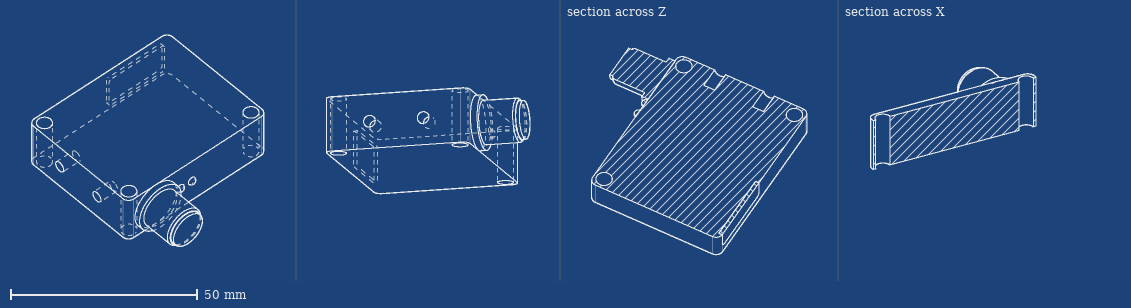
import cadquery as cq
import math

OVERALL_LENGTH = 53.0

HOUSING_X = 40.0
HOUSING_Y = 50.0
HOUSING_Z = 15.0
CORNER_RADIUS = 2.0
MID_Z = HOUSING_Z / 2

MOUNT_HOLE_DIAMETER = 4.3
MOUNT_HOLE_INSET = 3.0

FRONT_HOLE_DIAMETER = 3.25
FRONT_HOLE_DEPTH = 6.0
FRONT_HOLE_FIRST_X = 12.5
FRONT_HOLE_SPACING = 15.0

WINDOW_LENGTH = 20.0
WINDOW_HEIGHT = 10.0
WINDOW_THICKNESS = 1.0
WINDOW_CORNER_RADIUS = 1.0
WINDOW_Y = HOUSING_Y - CORNER_RADIUS - WINDOW_LENGTH / 2

CONNECTOR_Y = 10.0
CONNECTOR_LENGTH = OVERALL_LENGTH - HOUSING_X
FLANGE_DIAMETER = HOUSING_Z
FLANGE_THICKNESS = 1.85
BARREL_DIAMETER = 12.0
BARREL_END = 12.0
CHAMFER_LENGTH = 0.65
CHAMFER_DEPTH = 0.5
TIP_DIAMETER = 10.5

LIGHT_DIAMETER = 2.5
LIGHT_HEIGHT = 1.0
LIGHT_FIRST_Y = 18.85
LIGHT_SPACING = 4.1
LIGHT_COUNT = 2


def disc(y, start, length, diameter):
    """Cylinder along +X on the right face, starting at a distance from that face."""
    origin = (HOUSING_X + start, y, MID_Z)
    return cq.Workplane("YZ", origin=origin).circle(diameter / 2).extrude(length)


def make_window():
    """Flat plate with rounded corners, flush with the left face."""
    return (
        cq.Workplane("YZ", origin=(0, WINDOW_Y, MID_Z))
        .rect(WINDOW_LENGTH, WINDOW_HEIGHT)
        .extrude(WINDOW_THICKNESS)
        .edges("|X")
        .fillet(WINDOW_CORNER_RADIUS)
    )


def make_housing():
    """Rounded block with mounting holes, front blind holes and the window recess."""
    block = (
        cq.Workplane("XY")
        .box(HOUSING_X, HOUSING_Y, HOUSING_Z, centered=False)
        .edges("|Z")
        .fillet(CORNER_RADIUS)
    )
    left, right = MOUNT_HOLE_INSET, HOUSING_X - MOUNT_HOLE_INSET
    front, back = MOUNT_HOLE_INSET, HOUSING_Y - MOUNT_HOLE_INSET
    mount_holes = (
        cq.Workplane("XY")
        .pushPoints([(left, front), (right, front), (right, back)])
        .circle(MOUNT_HOLE_DIAMETER / 2)
        .extrude(HOUSING_Z)
    )
    front_holes = (
        cq.Workplane("XZ", origin=(FRONT_HOLE_FIRST_X, 0, MID_Z))
        .pushPoints([(0, 0), (FRONT_HOLE_SPACING, 0)])
        .circle(FRONT_HOLE_DIAMETER / 2)
        .extrude(-FRONT_HOLE_DEPTH)
    )
    return block.cut(mount_holes).cut(front_holes).cut(make_window())


def make_connector():
    """Flange, chamfered barrel and narrower tip along one axis."""
    flange = disc(CONNECTOR_Y, 0, FLANGE_THICKNESS, FLANGE_DIAMETER)
    barrel_length = BARREL_END - FLANGE_THICKNESS
    barrel = disc(CONNECTOR_Y, FLANGE_THICKNESS, barrel_length, BARREL_DIAMETER)
    barrel = barrel.faces(">X").edges().chamfer(CHAMFER_LENGTH, CHAMFER_DEPTH)
    tip = disc(CONNECTOR_Y, BARREL_END, CONNECTOR_LENGTH - BARREL_END, TIP_DIAMETER)
    return flange.union(barrel).union(tip)


def make_light(y):
    """Spherical cap standing on the right face."""
    base_radius = LIGHT_DIAMETER / 2
    sphere_radius = (base_radius**2 + LIGHT_HEIGHT**2) / (2 * LIGHT_HEIGHT)
    sphere_center = LIGHT_HEIGHT - sphere_radius
    arc_middle_angle = math.atan2(base_radius, -sphere_center) / 2
    arc_middle = (
        sphere_center + sphere_radius * math.cos(arc_middle_angle),
        sphere_radius * math.sin(arc_middle_angle),
    )
    return (
        cq.Workplane("XY", origin=(HOUSING_X, y, MID_Z))
        .lineTo(LIGHT_HEIGHT, 0)
        .threePointArc(arc_middle, (0, base_radius))
        .close()
        .revolve(360, (0, 0), (1, 0))
    )


housing = make_housing()
window = make_window()
connector = make_connector()
lights = [make_light(LIGHT_FIRST_Y + i * LIGHT_SPACING) for i in range(LIGHT_COUNT)]

result = cq.Compound.makeCompound(
    [housing.val(), window.val(), connector.val(), *[light.val() for light in lights]]
)